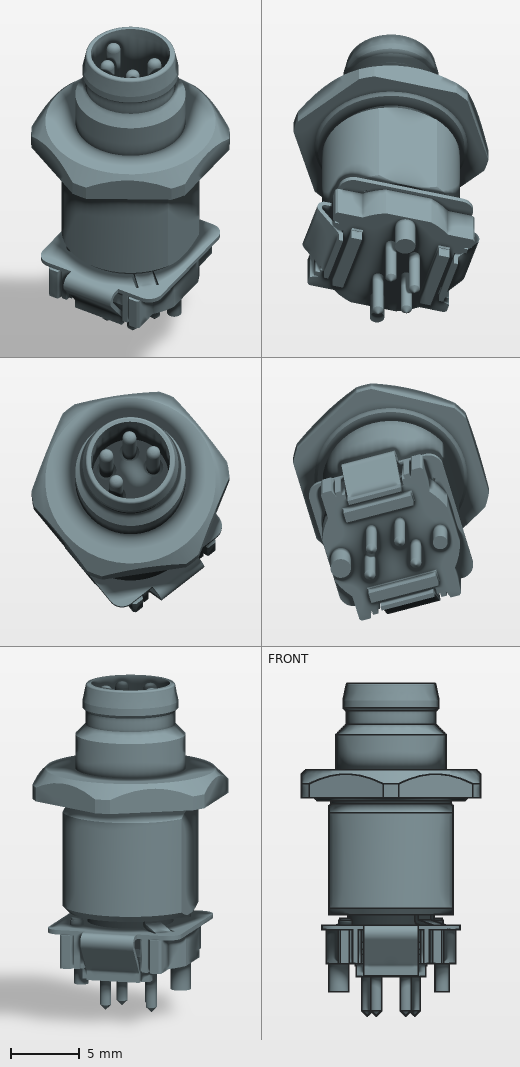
import cadquery as cq
import math


TOP_Z = 8.33
FLANGE_TOP_Z = 2.05
BODY_BOTTOM_Z = -8.46
PLATE_TOP_Z = -9.22
SHEET = 0.33
PLATE_BOTTOM_Z = PLATE_TOP_Z - SHEET
HOUSING_BOTTOM_Z = -12.01
PEG_BOTTOM_Z = -14.06
PIN_BOTTOM_Z = -15.82

RIM_R = 3.25
RIM_FILLET = 0.16
RIDGE_R = 3.48
RIDGE_TOP_Z = 7.07
RIDGE_BOTTOM_Z = 6.54
NECK_TOP_Z = RIDGE_BOTTOM_Z - (RIDGE_R - RIM_R)
PLUG_R = 4.0
NECK_BOTTOM_Z = 5.33
PLUG_CONE_Z = NECK_BOTTOM_Z - (PLUG_R - RIM_R)
SEAT_R = 5.55
SEAT_BOTTOM_Z = -0.22
RELIEF_R = 4.36
RELIEF_BOTTOM_Z = -0.43
BARREL_R = 5.0
BARREL_FLAT_X = 4.5
BARREL_CONE_Z = RELIEF_BOTTOM_Z - (BARREL_R - RELIEF_R)
BARREL_CHAMFER = 0.47
INSERT_R = 3.12

HEX_ACROSS_FLATS = 13.0
HEX_CORNER_R = 7.2
HEX_TOP_R = 6.18

BORE_TOP_R = 2.87
BORE_FLOOR_R = 2.78
BORE_DEPTH = 5.0
BORE_FLOOR_Z = TOP_Z - BORE_DEPTH
PIN_R = 0.5
PIN_DROP = 0.22
PIN_TOP_Z = TOP_Z - PIN_DROP
PIN_TIP_FILLET = 0.42
PIN_SINK_R = 0.72
TAIL_R = 0.4
TAIL_CONE = 0.4
PIN_PLACES = [(-1.73, 0.49), (1.73, 0.49), (-1.07, -1.46), (1.07, -1.46)]

PLATE_HALF = 5.02
PLATE_CORNER_R = 1.05
POST_PLACES = [(-3.29, -2.57), (3.29, 2.57)]
POST_R = 0.49
POST_HEIGHT = 0.36
POST_TIP_R = 0.42
POST_TIP_HEIGHT = 0.51
LEG_X = 2.575
LEG_WIDTH = 0.41

TAB_ROOT_R = 4.97
TAB_INNER_R = 3.09
TAB_WIDTH = 1.3
TAB_RISE_ANGLE = 14
TAB_RELIEF = 0.2
TAB_ANGLES = [-45, 135]

SPRING_WIDTH = 3.98
CURL_Y = 5.45
CURL_R = 0.65
CURL_TILT = 37.5
TONGUE_Y = 4.5
TONGUE_BEND_R = 0.24
TONGUE_BOTTOM_Z = HOUSING_BOTTOM_Z - 0.88

HOUSING_HALF_Y = 5.24
HOUSING_BULGE_R = 5.0
HOUSING_BULGE_X = 4.7
BLOCK_X = 3.83
BLOCK_CHAMFER = 0.15
RECESS_MOUTH_X = 3.02
RECESS_FLOOR_X = 2.81
POCKET_X = 2.15
POCKET_WALL_Y = TONGUE_Y - SHEET
LEDGE_TOP_Z = PLATE_TOP_Z - 1.25
LEDGE_NOSE_Y = 4.6
LEDGE_NOSE_Z = PLATE_TOP_Z - 1.74
LEDGE_BOTTOM_Z = PLATE_TOP_Z - 2.1
FOOT_X = 2.53
FOOT_INNER_Y = 2.91
FOOT_OUTER_Y = 3.69
FOOT_HEIGHT = 0.95
FOOT_FLARE = 0.08
FOOT_FLARE_HEIGHT = 0.17
LARGE_PEG_R = 0.74
LARGE_PEG_X = -3.79
SMALL_PEG_R = 0.53
SMALL_PEG_X = 3.71


def cylinder(x, y, radius, bottom, top):
    return cq.Workplane("XY", origin=(x, y, bottom)).circle(radius).extrude(top - bottom)


def centered_box(x_size, y_min, y_max, bottom, top):
    """A box centred on X = 0 between two Y positions and two heights."""
    center_y = (y_min + y_max) / 2
    return (
        cq.Workplane("XY", origin=(0, center_y, bottom))
        .rect(x_size, y_max - y_min)
        .extrude(top - bottom)
    )


def both_y_sides(shape):
    return shape.union(shape.mirror("XZ"))


def plug_end():
    """The snap-in plug above the flange with its tapered bore."""
    profile = (
        cq.Workplane("XZ")
        .moveTo(0, 0)
        .lineTo(PLUG_R, 0)
        .lineTo(PLUG_R, PLUG_CONE_Z)
        .lineTo(RIM_R, NECK_BOTTOM_Z)
        .lineTo(RIM_R, NECK_TOP_Z)
        .lineTo(RIDGE_R, RIDGE_BOTTOM_Z)
        .lineTo(RIDGE_R, RIDGE_TOP_Z)
        .lineTo(RIM_R, TOP_Z - RIM_FILLET)
        .radiusArc((RIM_R - RIM_FILLET, TOP_Z), -RIM_FILLET)
        .lineTo(BORE_TOP_R, TOP_Z)
        .lineTo(BORE_FLOOR_R, BORE_FLOOR_Z)
        .lineTo(0, BORE_FLOOR_Z)
        .close()
    )
    return profile.revolve(360, (0, 0, 0), (0, 1, 0))


def hex_flange():
    """Hexagon with two corners on the Y axis, rounded and chamfered on top."""
    hexagon = (
        cq.Workplane("XY")
        .polygon(6, HEX_ACROSS_FLATS, circumscribed=True)
        .extrude(FLANGE_TOP_Z)
    )
    chamfer = HEX_CORNER_R - HEX_TOP_R
    limit = cylinder(0, 0, HEX_CORNER_R, 0, FLANGE_TOP_Z).faces(">Z").chamfer(chamfer)
    return hexagon.intersect(limit)


def barrel():
    """The body below the flange, with flats on the -X and +X sides."""
    seat_height = -SEAT_BOTTOM_Z
    profile = (
        cq.Workplane("XZ")
        .moveTo(0, 0)
        .lineTo(SEAT_R, 0)
        .lineTo(SEAT_R - seat_height, SEAT_BOTTOM_Z)
        .lineTo(RELIEF_R, SEAT_BOTTOM_Z)
        .lineTo(RELIEF_R, RELIEF_BOTTOM_Z)
        .lineTo(BARREL_R, BARREL_CONE_Z)
        .lineTo(BARREL_R, BODY_BOTTOM_Z + BARREL_CHAMFER)
        .lineTo(BARREL_R - BARREL_CHAMFER, BODY_BOTTOM_Z)
        .lineTo(0, BODY_BOTTOM_Z)
        .close()
    )
    turned = profile.revolve(360, (0, 0, 0), (0, 1, 0))
    for side in (-1, 1):
        flat_cut = (
            cq.Workplane("XY", origin=(side * (BARREL_FLAT_X + BARREL_R), 0, BODY_BOTTOM_Z))
            .rect(2 * BARREL_R, 4 * BARREL_R)
            .extrude(SEAT_BOTTOM_Z - BODY_BOTTOM_Z)
        )
        turned = turned.cut(flat_cut)
    return turned


def pin_countersink(x, y):
    depth = PIN_SINK_R - PIN_R
    cone = cq.Solid.makeCone(PIN_R, PIN_SINK_R, depth, pnt=cq.Vector(x, y, BORE_FLOOR_Z - depth))
    return cq.Workplane(cone)


def contact_pin(x, y):
    """Round-tipped pin in the socket with a pointed solder tail below."""
    pin = cylinder(x, y, PIN_R, BODY_BOTTOM_Z, PIN_TOP_Z).faces(">Z").edges().fillet(PIN_TIP_FILLET)
    tail_end = PIN_BOTTOM_Z + TAIL_CONE
    tail = cylinder(x, y, TAIL_R, tail_end, BODY_BOTTOM_Z)
    point = cq.Solid.makeCone(
        TAIL_R, 0, TAIL_CONE, pnt=cq.Vector(x, y, tail_end), dir=cq.Vector(0, 0, -1)
    )
    return pin.union(tail).union(cq.Workplane(point))


def housing_outline():
    """Block outline whose -X and +X sides bulge out along a flattened circle."""
    height = HOUSING_BOTTOM_Z - PLATE_BOTTOM_Z
    blocks = (
        cq.Workplane("XY", origin=(0, 0, PLATE_BOTTOM_Z))
        .rect(2 * BLOCK_X, 2 * HOUSING_HALF_Y)
        .extrude(height)
        .edges("|Z")
        .chamfer(BLOCK_CHAMFER)
    )
    bulge = cylinder(0, 0, HOUSING_BULGE_R, HOUSING_BOTTOM_Z, PLATE_BOTTOM_Z)
    bulge_limit = (
        cq.Workplane("XY", origin=(0, 0, PLATE_BOTTOM_Z))
        .rect(2 * HOUSING_BULGE_X, 2 * HOUSING_BULGE_R)
        .extrude(height)
    )
    return blocks.union(bulge.intersect(bulge_limit))


def housing_recess():
    """Tapered recess for the plate legs and the deeper pocket for the spring, +Y side."""
    floor_y = PLATE_HALF - SHEET
    recess = (
        cq.Workplane("XY", origin=(0, 0, HOUSING_BOTTOM_Z))
        .moveTo(-RECESS_FLOOR_X, floor_y)
        .lineTo(RECESS_FLOOR_X, floor_y)
        .lineTo(RECESS_MOUTH_X, HOUSING_HALF_Y)
        .lineTo(-RECESS_MOUTH_X, HOUSING_HALF_Y)
        .close()
        .extrude(PLATE_BOTTOM_Z - HOUSING_BOTTOM_Z)
    )
    pocket = centered_box(
        2 * POCKET_X, POCKET_WALL_Y, HOUSING_HALF_Y, HOUSING_BOTTOM_Z, PLATE_BOTTOM_Z
    )
    return recess.union(pocket)


def pocket_ledge():
    """Ledge with a sloped top that stands out of the pocket wall, +Y side."""
    return (
        cq.Workplane("YZ", origin=(-POCKET_X, 0, 0))
        .moveTo(POCKET_WALL_Y, LEDGE_TOP_Z)
        .lineTo(LEDGE_NOSE_Y, LEDGE_NOSE_Z)
        .lineTo(LEDGE_NOSE_Y, LEDGE_BOTTOM_Z)
        .lineTo(POCKET_WALL_Y, LEDGE_BOTTOM_Z)
        .close()
        .extrude(2 * POCKET_X)
    )


def foot():
    """Locating foot under the housing, flared where it leaves the housing, +Y side."""
    bottom = HOUSING_BOTTOM_Z - FOOT_HEIGHT
    post = centered_box(2 * FOOT_X, FOOT_INNER_Y, FOOT_OUTER_Y, bottom, HOUSING_BOTTOM_Z)
    flare = centered_box(
        2 * (FOOT_X + FOOT_FLARE),
        FOOT_INNER_Y - FOOT_FLARE,
        FOOT_OUTER_Y,
        HOUSING_BOTTOM_Z - FOOT_FLARE_HEIGHT,
        HOUSING_BOTTOM_Z,
    )
    lower_edges = flare.faces("<Z").edges("<Y or <X or >X")
    return post.union(lower_edges.chamfer(FOOT_FLARE_HEIGHT / 2, FOOT_FLARE / 2))


def housing():
    body = housing_outline().cut(both_y_sides(housing_recess()))
    body = body.union(both_y_sides(pocket_ledge())).union(both_y_sides(foot()))
    body = body.union(cylinder(LARGE_PEG_X, 0, LARGE_PEG_R, PEG_BOTTOM_Z, HOUSING_BOTTOM_Z))
    body = body.union(cylinder(SMALL_PEG_X, 0, SMALL_PEG_R, PEG_BOTTOM_Z, HOUSING_BOTTOM_Z))
    for x, y in POST_PLACES:
        body = body.union(cylinder(x, y, POST_R, PLATE_BOTTOM_Z, PLATE_TOP_Z + POST_HEIGHT))
        body = body.union(cylinder(x, y, POST_TIP_R, PLATE_BOTTOM_Z, PLATE_TOP_Z + POST_TIP_HEIGHT))
    return body


def tab_opening(angle):
    """Hole left in the plate by a tab, with relief slits beside the bend line."""
    slits_end = TAB_ROOT_R + TAB_RELIEF
    length = slits_end - TAB_INNER_R
    opening = (
        cq.Workplane("XY", origin=(TAB_INNER_R + length / 2, 0, PLATE_BOTTOM_Z))
        .rect(length, TAB_WIDTH + 2 * TAB_RELIEF)
        .extrude(SHEET)
    )
    root = (
        cq.Workplane("XY", origin=(TAB_ROOT_R + TAB_RELIEF / 2, 0, PLATE_BOTTOM_Z))
        .rect(TAB_RELIEF, TAB_WIDTH)
        .extrude(SHEET)
    )
    return opening.cut(root).rotate((0, 0, 0), (0, 0, 1), angle)


def bent_tab(angle):
    """Tab rising from the plate, then turning up along the insert to the barrel."""
    rise = math.radians(TAB_RISE_ANGLE)
    outer_r = TAB_INNER_R + SHEET
    corner_z = PLATE_TOP_Z + math.tan(rise) * (TAB_ROOT_R - outer_r)
    middle = (rise + math.pi / 2) / 2
    arc_start = (outer_r - SHEET * math.sin(rise), corner_z - SHEET * math.cos(rise))
    arc_middle = (outer_r - SHEET * math.sin(middle), corner_z - SHEET * math.cos(middle))
    profile = (
        cq.Workplane("XZ", origin=(0, TAB_WIDTH / 2, 0))
        .moveTo(TAB_ROOT_R, PLATE_TOP_Z)
        .lineTo(TAB_ROOT_R, PLATE_BOTTOM_Z)
        .lineTo(*arc_start)
        .threePointArc(arc_middle, (TAB_INNER_R, corner_z))
        .lineTo(TAB_INNER_R, BODY_BOTTOM_Z)
        .lineTo(outer_r, BODY_BOTTOM_Z)
        .lineTo(outer_r, corner_z)
        .close()
    )
    return profile.extrude(TAB_WIDTH).rotate((0, 0, 0), (0, 0, 1), angle)


def spring():
    """Strip that curls over the plate edge and slopes back into the housing, +Y side."""
    tilt = math.radians(CURL_TILT)
    inner_r = CURL_R - SHEET
    center_z = PLATE_TOP_Z - CURL_R

    def on_curl(radius, angle):
        return (CURL_Y + radius * math.cos(angle), center_z + radius * math.sin(angle))

    outer_end = on_curl(CURL_R, -tilt)
    bend_z = outer_end[1] - (outer_end[0] - TONGUE_Y) / math.tan(tilt)
    inner_bend_z = bend_z + SHEET * math.tan(tilt / 2)
    tongue_inner_y = TONGUE_Y - SHEET
    profile = (
        cq.Workplane("YZ", origin=(-SPRING_WIDTH / 2, 0, 0))
        .moveTo(tongue_inner_y, PLATE_TOP_Z)
        .lineTo(CURL_Y, PLATE_TOP_Z)
        .threePointArc(on_curl(CURL_R, 0), outer_end)
        .lineTo(TONGUE_Y, bend_z)
        .lineTo(TONGUE_Y, TONGUE_BOTTOM_Z)
        .lineTo(tongue_inner_y, TONGUE_BOTTOM_Z)
        .lineTo(tongue_inner_y, inner_bend_z)
        .lineTo(*on_curl(inner_r, -tilt))
        .threePointArc(on_curl(inner_r, 0), (CURL_Y, PLATE_BOTTOM_Z))
        .lineTo(tongue_inner_y, PLATE_BOTTOM_Z)
        .close()
    )
    strip = profile.extrude(SPRING_WIDTH)
    outside = cq.selectors.NearestToPointSelector((0, TONGUE_Y, bend_z))
    strip = strip.edges(outside).fillet(TONGUE_BEND_R)
    inside = cq.selectors.NearestToPointSelector((0, tongue_inner_y, inner_bend_z))
    return strip.edges(inside).fillet(TONGUE_BEND_R + SHEET)


def plate_legs():
    """Pair of legs bent straight down from the plate edge, +Y side."""
    return (
        cq.Workplane("XY", origin=(0, PLATE_HALF - SHEET / 2, HOUSING_BOTTOM_Z))
        .pushPoints([(-LEG_X, 0), (LEG_X, 0)])
        .rect(LEG_WIDTH, SHEET)
        .extrude(PLATE_TOP_Z - HOUSING_BOTTOM_Z)
    )


def shield_plate():
    plate = (
        cq.Workplane("XY", origin=(0, 0, PLATE_BOTTOM_Z))
        .rect(2 * PLATE_HALF, 2 * PLATE_HALF)
        .extrude(SHEET)
        .edges("|Z")
        .fillet(PLATE_CORNER_R)
    )
    for angle in TAB_ANGLES:
        plate = plate.cut(tab_opening(angle)).union(bent_tab(angle))
    return plate.union(both_y_sides(spring())).union(both_y_sides(plate_legs()))


connector = plug_end().union(hex_flange()).union(barrel())
connector = connector.union(cylinder(0, 0, INSERT_R, PLATE_BOTTOM_Z, BODY_BOTTOM_Z))
connector = connector.union(housing()).union(shield_plate())
for pin_x, pin_y in PIN_PLACES:
    connector = connector.cut(pin_countersink(pin_x, pin_y)).union(contact_pin(pin_x, pin_y))

result = connector